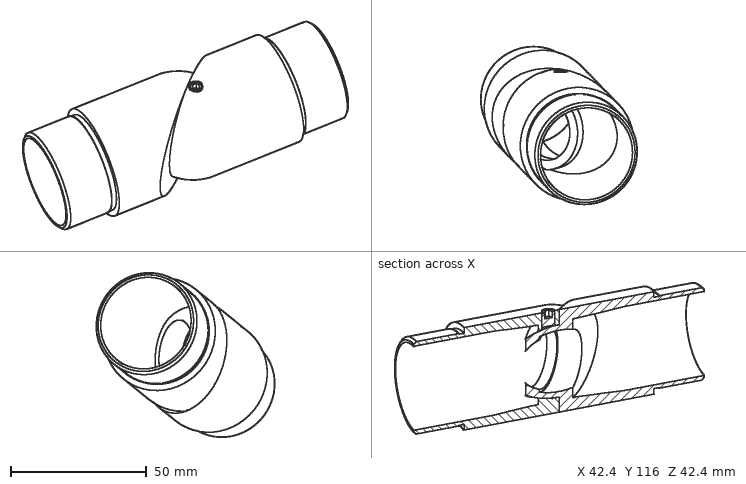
import cadquery as cq
import math

BODY_RADIUS = 42.4 / 2
BORE_RADIUS = 34.4 / 2
SPIGOT_RADIUS = 38.3 / 2
RELIEF_RADIUS = 37.8 / 2
HALF_LENGTH = 58.0
SPIGOT_LENGTH = 20.0
RELIEF_LENGTH = 2.0
END_CHAMFER = 1.0
SHOULDER = HALF_LENGTH - SPIGOT_LENGTH
DOME_SHIFT = 0.225
DOME_OFFSET = 3.1
TAPER_START = 26.0
CAVITY_END_RADIUS = 15.8
JOINT_ANGLE = 45.0

JOURNAL_WALL = 4.0
SOCKET_WALL = 6.0
JOURNAL_RADIUS = 30.0 / 2
JOURNAL_BORE_RADIUS = 25.0 / 2
LIP_BORE_RADIUS = 23.0 / 2
LIP_START = 5.5
JOURNAL_END = 9.5

SCREW_RADIUS = 5.0 / 2
SCREW_FACE_RADIUS = 4.2 / 2
SCREW_TOP = 21.0
SCREW_Y = SOCKET_WALL / 2 / math.cos(math.radians(JOINT_ANGLE))
HEX_FLATS = 2.5
HEX_DEPTH = 2.5

REACH = 4 * BODY_RADIUS
PIVOT_DIRECTION = cq.Vector(
    math.sin(math.radians(JOINT_ANGLE)), math.cos(math.radians(JOINT_ANGLE)), 0
)


def tube_rod(radius, start, end):
    """Solid rod on the Y axis between two Y positions."""
    return cq.Workplane("XZ", origin=(0, start, 0)).circle(radius).extrude(start - end)


def pivot_rod(radius, start, end):
    """Solid rod on the pivot axis between two distances from the joint plane."""
    plane = cq.Plane(origin=PIVOT_DIRECTION * start, xDir=(0, 0, 1), normal=PIVOT_DIRECTION)
    return cq.Workplane(plane).circle(radius).extrude(end - start)


def behind_joint(solid, wall):
    """Keep what lies on the -Y side of the joint plane, short of it by a wall's thickness."""
    return solid.cut(pivot_rod(REACH, -wall, REACH))


def make_body():
    """Full-width rod from the shoulder to the joint plane, its leading tip rounded to a dome.

    The dome's sphere passes through the rod's topmost and lowest points at Y = 0 and meets
    its side almost tangentially at the tip.
    """
    dome_radius = math.hypot(BODY_RADIUS, DOME_SHIFT, DOME_OFFSET)
    dome = cq.Workplane("XY").sphere(dome_radius).translate((DOME_SHIFT, -DOME_OFFSET, 0))
    tip = tube_rod(BODY_RADIUS, -DOME_OFFSET, REACH).intersect(dome)
    rod = tube_rod(BODY_RADIUS, -SHOULDER, -DOME_OFFSET).union(tip)
    return behind_joint(rod, 0)


def make_cavity(wall):
    """Hollow of a half: straight bore, taper and round end, cut off flat at the end wall.

    The taper runs tangentially into the round end, which is centred on the origin.
    """
    start_angle = math.atan2(-TAPER_START, BORE_RADIUS)
    tangent_angle = start_angle + math.acos(CAVITY_END_RADIUS / math.hypot(TAPER_START, BORE_RADIUS))
    tangent_point = (
        CAVITY_END_RADIUS * math.cos(tangent_angle),
        CAVITY_END_RADIUS * math.sin(tangent_angle),
    )
    profile = (
        cq.Workplane("XY")
        .moveTo(0, -HALF_LENGTH)
        .lineTo(BORE_RADIUS, -HALF_LENGTH)
        .lineTo(BORE_RADIUS, -TAPER_START)
        .lineTo(*tangent_point)
        .radiusArc((0, CAVITY_END_RADIUS), -CAVITY_END_RADIUS)
        .close()
    )
    return behind_joint(profile.revolve(360, (0, 0, 0), (0, 1, 0)), wall)


def tube_half(wall):
    """Half on the -Y side: spigot, relief groove, domed body and hollow up to its end wall."""
    spigot = tube_rod(SPIGOT_RADIUS, -HALF_LENGTH, -SHOULDER - RELIEF_LENGTH)
    spigot = spigot.faces("<Y").chamfer(END_CHAMFER)
    relief = tube_rod(RELIEF_RADIUS, -SHOULDER - RELIEF_LENGTH, -SHOULDER)
    return make_body().union(relief).union(spigot).cut(make_cavity(wall))


def make_journal_half():
    """Half whose end wall carries the hollow journal, narrowed by a lip at its far end."""
    half = tube_half(JOURNAL_WALL)
    half = half.union(pivot_rod(JOURNAL_RADIUS, -JOURNAL_WALL, JOURNAL_END))
    half = half.cut(pivot_rod(JOURNAL_BORE_RADIUS, -JOURNAL_WALL, LIP_START))
    return half.cut(pivot_rod(LIP_BORE_RADIUS, LIP_START, JOURNAL_END))


def screw_rod(radius, bottom, top):
    """Vertical rod on the set screw's axis."""
    return cq.Workplane("XY", origin=(0, SCREW_Y, bottom)).circle(radius).extrude(top - bottom)


def make_socket_half():
    """Opposite half, bored for the journal and drilled for the set screw."""
    half = tube_half(SOCKET_WALL).rotate((0, 0, 0), (0, 0, 1), 180)
    half = half.cut(pivot_rod(JOURNAL_RADIUS, 0, JOURNAL_END))
    return half.cut(screw_rod(SCREW_RADIUS, 0, REACH))


def make_set_screw():
    """Headless screw resting on the journal, with a chamfered face and a hexagon socket."""
    screw = screw_rod(SCREW_RADIUS, JOURNAL_RADIUS, SCREW_TOP)
    screw = screw.faces(">Z").chamfer(SCREW_RADIUS - SCREW_FACE_RADIUS)
    hexagon = (
        cq.Workplane("XY", origin=(0, SCREW_Y, SCREW_TOP - HEX_DEPTH))
        .polygon(6, HEX_FLATS, circumscribed=True)
        .extrude(HEX_DEPTH)
    )
    return screw.cut(hexagon)


journal_half = make_journal_half()
socket_half = make_socket_half()
set_screw = make_set_screw()

result = cq.Compound.makeCompound(
    [journal_half.solids().val(), socket_half.solids().val(), set_screw.solids().val()]
)